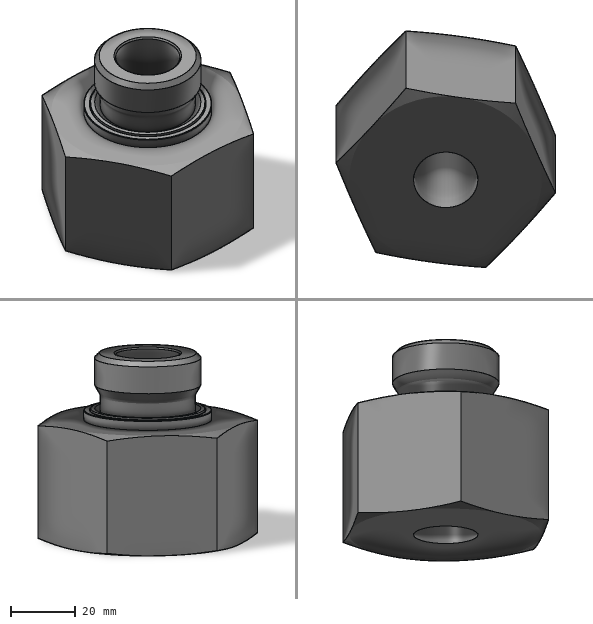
import cadquery as cq
import math

ACROSS_FLATS = 60.0
HEX_HEIGHT = 38.0
TURNING_MARGIN = 1.0
HEX_CHAMFER_ANGLE = 15.0
ACROSS_CORNERS = ACROSS_FLATS / math.cos(math.radians(30))

FLANGE_RADIUS = 39.9 / 2
FLANGE_HEIGHT = 3.0
FLANGE_CHAMFER = 0.2
FLANGE_TOP = HEX_HEIGHT + FLANGE_HEIGHT

STUB_LENGTH = 18.0
THREAD_RADIUS = 33.25 / 2
STUB_CHAMFER = 1.5
THREAD_END_FROM_TIP = 10.0
NECK_RADIUS = 29.7 / 2
RELIEF_ANGLE = 30.0
RELIEF_FILLET = 1.5
STUB_TOP = FLANGE_TOP + STUB_LENGTH
THREAD_END = STUB_TOP - THREAD_END_FROM_TIP
RELIEF_HEIGHT = (THREAD_RADIUS - NECK_RADIUS) / math.tan(math.radians(RELIEF_ANGLE))
NECK_TOP = THREAD_END - RELIEF_HEIGHT

BORE_RADIUS = 20.0 / 2
BORE_CHAMFER = 0.5

GROOVE_RADIUS = 36.0 / 2
GROOVE_DEPTH = 1.5
SEAL_OUTER_RADIUS = 35.7 / 2
SEAL_INNER_RADIUS = NECK_RADIUS
SEAL_PROTRUSION = 0.45
SEAL_RIM_RADIUS = 33.1 / 2
SEAL_CONE_DEPTH = 1.0
GROOVE_FLOOR = FLANGE_TOP - GROOVE_DEPTH
SEAL_TOP = FLANGE_TOP + SEAL_PROTRUSION


def revolve_profile(points):
    """Turn a closed (radius, height) outline about the Z axis."""
    return cq.Workplane("XZ").polyline(points).close().revolve(360, (0, 0, 0), (0, 1, 0))


def make_hexagon():
    """Hexagonal prism with corners on Y, its corners turned off at both ends."""
    prism = cq.Workplane("XY").polygon(6, ACROSS_CORNERS).extrude(HEX_HEIGHT)
    prism = prism.rotate((0, 0, 0), (0, 0, 1), 90)
    end_radius = ACROSS_FLATS / 2
    outer_radius = ACROSS_CORNERS / 2 + TURNING_MARGIN
    drop = (outer_radius - end_radius) * math.tan(math.radians(HEX_CHAMFER_ANGLE))
    envelope = revolve_profile([
        (0, 0),
        (end_radius, 0),
        (outer_radius, drop),
        (outer_radius, HEX_HEIGHT - drop),
        (end_radius, HEX_HEIGHT),
        (0, HEX_HEIGHT),
    ])
    return prism.intersect(envelope)


def make_flange():
    """Round flange with a recess for the seal ring, chamfered at its rim and at the recess mouth."""
    flange = cq.Workplane("XY").workplane(offset=HEX_HEIGHT).circle(FLANGE_RADIUS).extrude(FLANGE_HEIGHT)
    groove = cq.Workplane("XY").workplane(offset=GROOVE_FLOOR).circle(GROOVE_RADIUS).extrude(GROOVE_DEPTH)
    return flange.cut(groove).faces(">Z").edges().chamfer(FLANGE_CHAMFER)


def make_stub():
    """Stub with a chamfered tip, a conical thread relief and a neck down to the groove floor."""
    stub = revolve_profile([
        (0, GROOVE_FLOOR),
        (NECK_RADIUS, GROOVE_FLOOR),
        (NECK_RADIUS, NECK_TOP),
        (THREAD_RADIUS, THREAD_END),
        (THREAD_RADIUS, STUB_TOP - STUB_CHAMFER),
        (THREAD_RADIUS - STUB_CHAMFER, STUB_TOP),
        (0, STUB_TOP),
    ])
    neck_edge = cq.selectors.BoxSelector(
        (-THREAD_RADIUS, -THREAD_RADIUS, NECK_TOP - RELIEF_FILLET / 2),
        (THREAD_RADIUS, THREAD_RADIUS, NECK_TOP + RELIEF_FILLET / 2),
        boundingbox=True,
    )
    return stub.edges(neck_edge).fillet(RELIEF_FILLET)


def make_bore():
    """Cutter for the through bore with its chamfered mouth."""
    return revolve_profile([
        (0, 0),
        (BORE_RADIUS, 0),
        (BORE_RADIUS, STUB_TOP - BORE_CHAMFER),
        (BORE_RADIUS + BORE_CHAMFER, STUB_TOP),
        (0, STUB_TOP),
    ])


def make_seal_ring():
    """Ring on the groove floor, standing proud of the flange, its top dished towards the neck."""
    return revolve_profile([
        (SEAL_INNER_RADIUS, GROOVE_FLOOR),
        (SEAL_OUTER_RADIUS, GROOVE_FLOOR),
        (SEAL_OUTER_RADIUS, SEAL_TOP),
        (SEAL_RIM_RADIUS, SEAL_TOP),
        (SEAL_INNER_RADIUS, SEAL_TOP - SEAL_CONE_DEPTH),
    ])


fitting = make_hexagon().union(make_flange()).union(make_stub()).cut(make_bore())
seal_ring = make_seal_ring()

result = cq.Compound.makeCompound([fitting.solids().val(), seal_ring.val()])